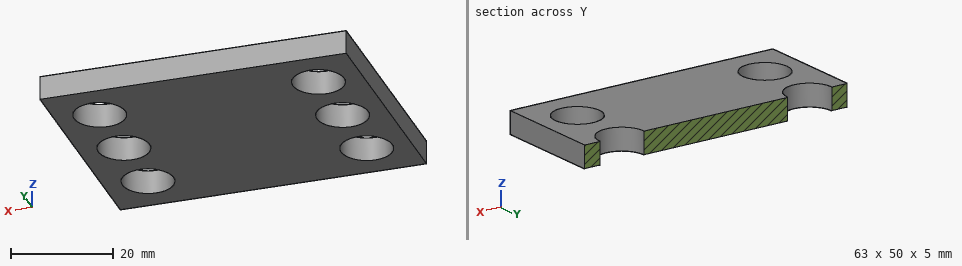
import cadquery as cq

length = 63.0
width = 50.0
thickness = 5.0

hole_diameter = 10.5
column_spacing = 45.0
row_spacing = 15.0
columns = 2
rows = 3

plate = cq.Workplane("XY").box(length, width, thickness)

result = (
    plate.faces(">Z")
    .workplane()
    .rarray(column_spacing, row_spacing, columns, rows)
    .hole(hole_diameter)
)